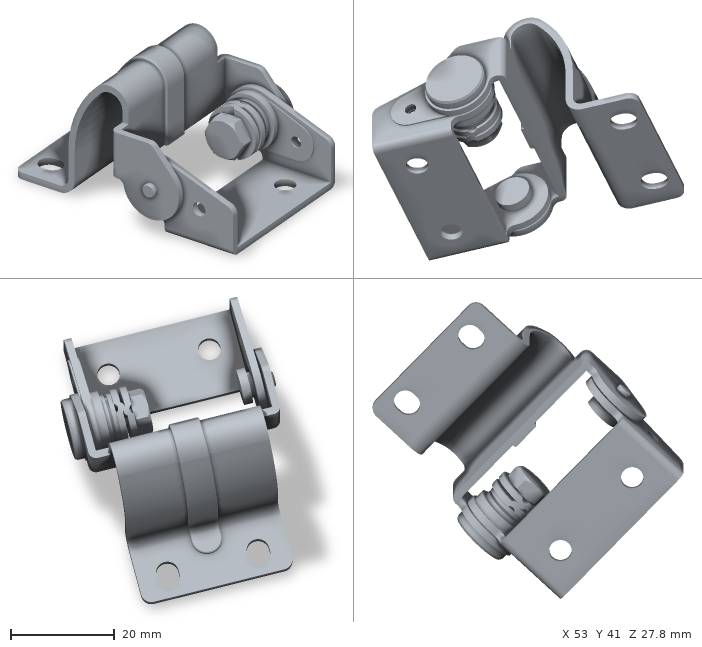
import cadquery as cq
import math

SHEET = 1.5
PIVOT_X = 35.05
PIVOT_Z = 10.0
EAR_RADIUS = 6.5
CORNER_RADIUS = 2.0
NOTCH_RADIUS = 1.5

ARCH_EAR_OUT = 19.05
ARCH_EAR_IN = ARCH_EAR_OUT - SHEET
BASE_EAR_OUT = 17.2
BASE_EAR_IN = BASE_EAR_OUT - SHEET
EAR_GAP = ARCH_EAR_IN - BASE_EAR_OUT

BOLT_RADIUS = 2.0
RIVET_SHOULDER_RADIUS = 2.5
RIVET_PIN_RADIUS = 1.5

FLANGE_WIDTH = 30.0
SLOT_LENGTH = 5.3
SLOT_WIDTH = 4.4
SLOT_X = 4.55
SLOT_SPACING = 18.0
FRONT_WALL_X = 12.8
BEND_RADIUS = 2.0
CROWN_RADIUS = 4.5
REAR_WALL_X = 27.0
ARCH_TOP = 27.05
ARCH_EAR_TOP = 20.0
ARCH_EAR_BOTTOM = PIVOT_Z
RIB_WIDTH = 5.95
RIB_HEIGHT = 0.7
RIB_START = 6.6
RIB_EDGE_RADIUS = 0.3
POINT_TOLERANCE = 0.005

CROWN_X = REAR_WALL_X - CROWN_RADIUS
CROWN_Z = ARCH_TOP - CROWN_RADIUS
REAR_WALL_INNER_X = REAR_WALL_X - SHEET

ARC_START_Z = PIVOT_Z
ARC_RUN = CROWN_X - FRONT_WALL_X
ARC_RISE = CROWN_Z - ARC_START_Z
FRONT_ARC_RADIUS = (ARC_RUN**2 + ARC_RISE**2 - CROWN_RADIUS**2) / (2 * (ARC_RUN - CROWN_RADIUS))
FRONT_ARC_X = FRONT_WALL_X + FRONT_ARC_RADIUS
CROWN_START_ANGLE = math.degrees(math.atan2(ARC_RISE, CROWN_X - FRONT_ARC_X))

BASE_X_MIN = 36.95
BASE_X_MAX = 53.0
BASE_HOLE_RADIUS = 2.15
BASE_HOLE_X = 46.25
BASE_HOLE_SPACING = 20.05
BASE_EAR_SLOPE = 20.5
TAB_HOLE_X = PIVOT_X + 10.0
TAB_HOLE_Z = PIVOT_Z - 2.0
EAR_HOLE_RADIUS = 1.5

WASHER_RADIUS = 6.0
HEAD_TOP = 21.0
HEAD_CHAMFER_LENGTH = 0.5
HEAD_CHAMFER_INSET = 0.25
TAB_RADIUS = 4.0
TAB_HOLE_RADIUS = 1.15
THRUST_WASHER_THICKNESS = 1.65
SPRING_RADIUS = 5.0
SPRING_STACK_HEIGHT = 2.3
SPRING_GROOVE_RADIUS = 4.4
SPRING_GROOVE_WIDTH = 0.55
DETENT_RADIUS = 5.55
DETENT_THICKNESS = 1.25
DETENT_GAP = 0.7
BEAD_RADIUS = 1.0
BEAD_HEIGHT = 0.6
BEAD_TILT = 5.0
NUT_FLATS = 8.05
NUT_HEIGHT = 3.2
NUT_CHAMFER_ANGLE = 30.0

RIVET_HEAD_RADIUS = 3.5
RIVET_HEAD_THICKNESS = 1.7
RIVET_HEAD_TOP = -13.2
RIVET_PIN_END = -20.05
RIVET_CHAMFER = 0.2


def polar(x, z, radius, angle):
    """Point at an angle in degrees (from +X toward +Z) on a circle about (x, z)."""
    a = math.radians(angle)
    return (x + radius * math.cos(a), z + radius * math.sin(a))


def around_pivot(radius, angle):
    return polar(PIVOT_X, PIVOT_Z, radius, angle)


def extrude_y(outline, y_low, y_high):
    """Extrude a closed XZ outline from y_low to y_high."""
    return outline.extrude(y_low - y_high).translate((0, y_low, 0))


def disc(radius, y_low, y_high, x=PIVOT_X, z=PIVOT_Z):
    """Round disc along Y, on the hinge axis unless another centre is given."""
    return extrude_y(cq.Workplane("XZ").center(x, z).circle(radius), y_low, y_high)


def arch_curve(offset, start_x):
    """Points of the arch's upper face, moved outward by offset, from flange to rear wall."""
    bend_x = FRONT_WALL_X - BEND_RADIUS
    bend_z = SHEET + BEND_RADIUS
    bend = BEND_RADIUS - offset
    front = FRONT_ARC_RADIUS + offset
    crown = CROWN_RADIUS + offset
    return [
        (start_x, SHEET + offset),
        (bend_x, SHEET + offset),
        polar(bend_x, bend_z, bend, -45),
        (FRONT_WALL_X - offset, bend_z),
        (FRONT_WALL_X - offset, ARC_START_Z),
        polar(FRONT_ARC_X, ARC_START_Z, front, (180 + CROWN_START_ANGLE) / 2),
        polar(CROWN_X, CROWN_Z, crown, CROWN_START_ANGLE),
        polar(CROWN_X, CROWN_Z, crown, CROWN_START_ANGLE / 2),
        (REAR_WALL_X + offset, CROWN_Z),
        (REAR_WALL_X + offset, ARCH_EAR_BOTTOM),
    ]


def arch_band(low_offset, high_offset, start_x, width):
    """Strip that follows the arch between two offsets from its upper face."""
    a = arch_curve(low_offset, start_x)
    b = arch_curve(high_offset, start_x)
    outline = (
        cq.Workplane("XZ").moveTo(*a[0])
        .lineTo(*a[1]).threePointArc(a[2], a[3])
        .lineTo(*a[4]).threePointArc(a[5], a[6]).threePointArc(a[7], a[8])
        .lineTo(*a[9]).lineTo(*b[9])
        .lineTo(*b[8]).threePointArc(b[7], b[6]).threePointArc(b[5], b[4])
        .lineTo(*b[3]).threePointArc(b[2], b[1])
        .lineTo(*b[0]).close()
    )
    return extrude_y(outline, -width / 2, width / 2)


def make_rib():
    """Raised strip over the arch, with a half-round end on the flange and rounded edges."""
    half = RIB_WIDTH / 2
    start = RIB_START + half
    end = (
        cq.Workplane("XY", origin=(0, 0, SHEET)).moveTo(start, half)
        .threePointArc((RIB_START, 0), (start, -half)).close()
        .extrude(RIB_HEIGHT)
    )
    rib = arch_band(0, RIB_HEIGHT, start, RIB_WIDTH).union(end)
    crest = arch_curve(RIB_HEIGHT, start)

    def on_crest(vertex):
        return any(math.hypot(vertex.X - x, vertex.Z - z) < POINT_TOLERANCE for x, z in crest)

    def is_crest_border(edge):
        crosses = edge.geomType() == "LINE" and abs(edge.tangentAt(0).y) > 0.5
        return not crosses and all(on_crest(v) for v in edge.Vertices())

    return rib.edges().filter(is_crest_border).fillet(RIB_EDGE_RADIUS)


def make_arch_ears():
    """Rear wall strip bent round at both ends into the two ears."""
    wall = cq.Workplane("XY").box(
        SHEET, 2 * ARCH_EAR_OUT, ARCH_EAR_TOP - ARCH_EAR_BOTTOM, centered=(False, True, False)
    ).translate((REAR_WALL_INNER_X, 0, ARCH_EAR_BOTTOM))

    tangent_angle = 90 - math.degrees(math.acos(EAR_RADIUS / (ARCH_EAR_TOP - PIVOT_Z)))
    outline = (
        cq.Workplane("XZ").moveTo(REAR_WALL_INNER_X, ARCH_EAR_BOTTOM)
        .lineTo(REAR_WALL_INNER_X, ARCH_EAR_TOP)
        .lineTo(PIVOT_X, ARCH_EAR_TOP)
        .lineTo(*around_pivot(EAR_RADIUS, tangent_angle))
        .threePointArc(around_pivot(EAR_RADIUS, -90), around_pivot(EAR_RADIUS, 180))
        .close()
    )
    ear = extrude_y(outline, ARCH_EAR_IN, ARCH_EAR_OUT)
    mid_y = ARCH_EAR_OUT - SHEET / 2
    top_corner = cq.NearestToPointSelector((PIVOT_X, mid_y, ARCH_EAR_TOP))
    notch = cq.NearestToPointSelector((PIVOT_X - EAR_RADIUS, mid_y, ARCH_EAR_BOTTOM))
    ear = ear.edges(top_corner).fillet(CORNER_RADIUS)
    ear = ear.edges(notch).fillet(NOTCH_RADIUS)
    ears = wall.union(ear).union(ear.mirror("XZ"))
    return ears.edges("|Z and <X").fillet(SHEET)


def make_arched_bracket():
    sheet = arch_band(-SHEET, 0, 0, FLANGE_WIDTH)
    sheet = sheet.edges("|Z and <X").fillet(CORNER_RADIUS)
    slots = (
        cq.Workplane("XY").center(SLOT_X, 0).rarray(0.55, SLOT_SPACING, 1, 2)
        .slot2D(SLOT_LENGTH, SLOT_WIDTH).extrude(SHEET)
    )
    bracket = sheet.cut(slots).union(make_arch_ears()).union(make_rib())
    bracket = bracket.cut(disc(BOLT_RADIUS, ARCH_EAR_IN, ARCH_EAR_OUT))
    return bracket.cut(disc(RIVET_PIN_RADIUS, -ARCH_EAR_OUT, -ARCH_EAR_IN))


def make_base_ear():
    """Ear on the +Y side, with its round end on the hinge axis."""
    tangent_angle = 90 - BASE_EAR_SLOPE
    tangent_x, tangent_z = around_pivot(EAR_RADIUS, tangent_angle)
    corner_z = tangent_z - (BASE_X_MAX - tangent_x) * math.tan(math.radians(BASE_EAR_SLOPE))
    notch_z = PIVOT_Z - math.sqrt(EAR_RADIUS**2 - (BASE_X_MIN - PIVOT_X) ** 2)
    outline = (
        cq.Workplane("XZ").moveTo(BASE_X_MIN, 0)
        .lineTo(BASE_X_MAX, 0)
        .lineTo(BASE_X_MAX, corner_z)
        .lineTo(tangent_x, tangent_z)
        .threePointArc(around_pivot(EAR_RADIUS, 180), (BASE_X_MIN, notch_z))
        .close()
    )
    mid_y = BASE_EAR_OUT - SHEET / 2
    ear = extrude_y(outline, BASE_EAR_IN, BASE_EAR_OUT)
    ear = ear.edges(cq.NearestToPointSelector((BASE_X_MAX, mid_y, corner_z))).fillet(CORNER_RADIUS)
    ear = ear.edges(cq.NearestToPointSelector((BASE_X_MIN, mid_y, notch_z))).fillet(NOTCH_RADIUS)
    return ear.cut(disc(EAR_HOLE_RADIUS, BASE_EAR_IN, BASE_EAR_OUT, TAB_HOLE_X, TAB_HOLE_Z))


def make_base_bracket():
    plate = cq.Workplane("XY").box(
        BASE_X_MAX - BASE_X_MIN, 2 * BASE_EAR_OUT, SHEET, centered=(False, True, False)
    ).translate((BASE_X_MIN, 0, 0))
    holes = (
        cq.Workplane("XY").center(BASE_HOLE_X, 0).rarray(0.55, BASE_HOLE_SPACING, 1, 2)
        .circle(BASE_HOLE_RADIUS).extrude(SHEET)
    )
    ear = make_base_ear()
    bracket = plate.cut(holes).union(ear).union(ear.mirror("XZ"))
    bracket = bracket.edges("|X and <Z").fillet(SHEET)
    bracket = bracket.cut(disc(BOLT_RADIUS, BASE_EAR_IN, BASE_EAR_OUT))
    return bracket.cut(disc(RIVET_SHOULDER_RADIUS, -BASE_EAR_OUT, -BASE_EAR_IN))


def make_bolt_head():
    head = disc(WASHER_RADIUS, ARCH_EAR_OUT, HEAD_TOP)
    return head.faces(">Y").chamfer(HEAD_CHAMFER_LENGTH, HEAD_CHAMFER_INSET)


def make_friction_plate(y_low, y_high):
    """Washer extended by a tab with a hole over the ear hole."""
    run = TAB_HOLE_X - PIVOT_X
    drop = TAB_HOLE_Z - PIVOT_Z
    heading = math.degrees(math.atan2(drop, run))
    spread = math.degrees(math.acos((WASHER_RADIUS - TAB_RADIUS) / math.hypot(run, drop)))
    upper = heading + spread
    lower = heading - spread
    outline = (
        cq.Workplane("XZ").moveTo(*around_pivot(WASHER_RADIUS, upper))
        .threePointArc(around_pivot(WASHER_RADIUS, heading + 180), around_pivot(WASHER_RADIUS, lower))
        .lineTo(*polar(TAB_HOLE_X, TAB_HOLE_Z, TAB_RADIUS, lower))
        .threePointArc(
            polar(TAB_HOLE_X, TAB_HOLE_Z, TAB_RADIUS, heading),
            polar(TAB_HOLE_X, TAB_HOLE_Z, TAB_RADIUS, upper),
        )
        .close()
    )
    plate = extrude_y(outline, y_low, y_high)
    return plate.cut(disc(TAB_HOLE_RADIUS, y_low, y_high, TAB_HOLE_X, TAB_HOLE_Z))


def make_springs(y_low, y_high):
    """Disc spring stack: one drum with a groove round its middle."""
    middle = (y_low + y_high) / 2
    groove_low = middle - SPRING_GROOVE_WIDTH / 2
    groove_high = middle + SPRING_GROOVE_WIDTH / 2
    lower = disc(SPRING_RADIUS, y_low, groove_low)
    core = disc(SPRING_GROOVE_RADIUS, groove_low, groove_high)
    upper = disc(SPRING_RADIUS, groove_high, y_high)
    return lower.union(core).union(upper)


def make_bead(base_y, direction, tilt):
    """Round bar across the washer, standing BEAD_HEIGHT proud of the plane Y = base_y."""
    axis_y = base_y - direction * (BEAD_RADIUS - BEAD_HEIGHT)
    bar = cq.Workplane("XY").circle(BEAD_RADIUS).extrude(DETENT_RADIUS, both=True)
    half = cq.Workplane("XY").box(3 * BEAD_RADIUS, BEAD_HEIGHT, 2 * DETENT_RADIUS)
    half = half.translate((0, base_y + direction * BEAD_HEIGHT / 2, 0))
    bead = bar.translate((0, axis_y, 0)).intersect(half)
    bead = bead.rotate((0, 0, 0), (0, 1, 0), tilt).translate((PIVOT_X, 0, PIVOT_Z))
    return bead.intersect(disc(DETENT_RADIUS, base_y - BEAD_HEIGHT, base_y + BEAD_HEIGHT))


def make_detent_washer(y_low, y_high, direction):
    """Washer with a bead pressed out toward +Y or -Y and the matching groove behind it."""
    front, back = (y_high, y_low) if direction > 0 else (y_low, y_high)
    tilt = -direction * BEAD_TILT
    washer = disc(DETENT_RADIUS, y_low, y_high)
    washer = washer.cut(make_bead(back, direction, tilt))
    return washer.union(make_bead(front, direction, tilt))


def make_nut(y_low, y_high):
    """Hexagon nut with corners on the X axis, chamfered at both ends, at 45 degrees on the free end."""
    across_corners = NUT_FLATS / math.cos(math.pi / 6)
    nut = extrude_y(
        cq.Workplane("XZ").center(PIVOT_X, PIVOT_Z).polygon(6, across_corners), y_low, y_high
    )
    inset = (across_corners - NUT_FLATS) / 2
    rounding = disc(across_corners / 2, y_low, y_high)
    rounding = rounding.faces("<Y").chamfer(inset, inset)
    rounding = rounding.faces(">Y").chamfer(inset * math.tan(math.radians(NUT_CHAMFER_ANGLE)), inset)
    return nut.intersect(rounding)


def make_hinge_bolt():
    plate_end = BASE_EAR_IN - EAR_GAP
    thrust_end = plate_end - THRUST_WASHER_THICKNESS
    spring_end = thrust_end - SPRING_STACK_HEIGHT
    detent_end = spring_end - DETENT_THICKNESS
    second_detent = detent_end - DETENT_GAP
    nut_start = second_detent - DETENT_THICKNESS
    nut_end = nut_start - NUT_HEIGHT

    parts = [
        make_bolt_head(),
        make_friction_plate(BASE_EAR_OUT, ARCH_EAR_IN),
        make_friction_plate(plate_end, BASE_EAR_IN),
        disc(WASHER_RADIUS, thrust_end, plate_end),
        make_springs(spring_end, thrust_end),
        make_detent_washer(detent_end, spring_end, -1),
        make_detent_washer(nut_start, second_detent, 1),
        make_nut(nut_end, nut_start),
    ]
    bolt = disc(BOLT_RADIUS, nut_end, ARCH_EAR_OUT)
    for part in parts:
        bolt = bolt.union(part)
    return bolt


def make_rivet():
    head_base = RIVET_HEAD_TOP - RIVET_HEAD_THICKNESS
    head = disc(RIVET_HEAD_RADIUS, head_base, RIVET_HEAD_TOP)
    shoulder = disc(RIVET_SHOULDER_RADIUS, -ARCH_EAR_IN, head_base)
    pin = disc(RIVET_PIN_RADIUS, RIVET_PIN_END, -ARCH_EAR_IN).faces("<Y").chamfer(RIVET_CHAMFER)
    return head.union(shoulder).union(pin)


arched_bracket = make_arched_bracket()
base_bracket = make_base_bracket()
hinge_bolt = make_hinge_bolt()
rivet = make_rivet()

bodies = [arched_bracket, base_bracket, hinge_bolt, rivet]
result = cq.Compound.makeCompound([body.solids().val() for body in bodies])